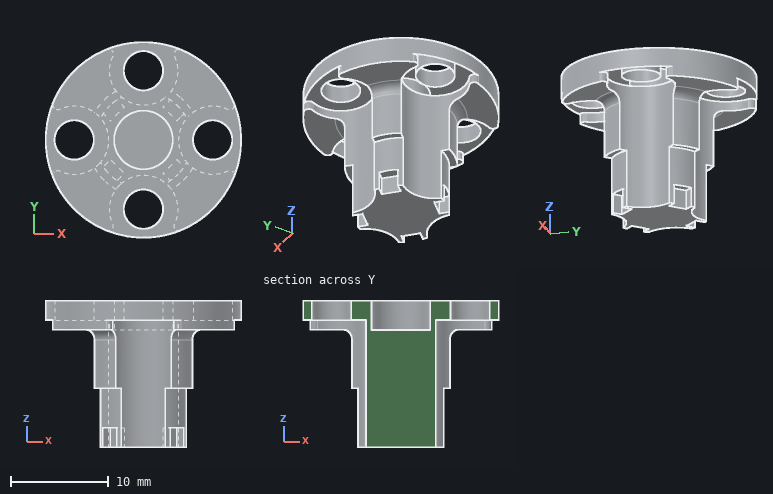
import cadquery as cq
import math

total_height = 15.0
flange_diameter = 20.0
flange_thickness = 3.0
flange_rim_height = 2.0

upper_stem_diameter = 11.53
lower_stem_diameter = 9.9
lower_stem_height = 6.01
stem_fillet_radius = 1.0

quarter_count = 4
scallop_radius = 3.5
scallop_corner_radius = 0.5

bore_diameter = 6.0
bore_depth = flange_thickness
bolt_hole_diameter = 4.0
bolt_circle_radius = 7.07

notch_width = 2.0
notch_height = 2.0
notch_floor_distance = 3.8

flange_underside = total_height - flange_thickness
scallop_top = total_height - flange_rim_height


def cylinder(diameter, bottom, top):
    return cq.Workplane("XY").workplane(offset=bottom).circle(diameter / 2).extrude(top - bottom)


def flanged_stem():
    """Revolved body with a concave fillet where the stem meets the flange."""
    flange_radius = flange_diameter / 2
    upper_radius = upper_stem_diameter / 2
    lower_radius = lower_stem_diameter / 2
    fillet_bottom = flange_underside - stem_fillet_radius
    fillet_outer_radius = upper_radius + stem_fillet_radius
    arc_offset = stem_fillet_radius * (1 - math.sqrt(0.5))
    profile = (
        cq.Workplane("XZ")
        .lineTo(lower_radius, 0)
        .lineTo(lower_radius, lower_stem_height)
        .lineTo(upper_radius, lower_stem_height)
        .lineTo(upper_radius, fillet_bottom)
        .threePointArc(
            (upper_radius + arc_offset, flange_underside - arc_offset),
            (fillet_outer_radius, flange_underside),
        )
        .lineTo(flange_radius, flange_underside)
        .lineTo(flange_radius, total_height)
        .lineTo(0, total_height)
        .close()
    )
    return profile.revolve(360, (0, 0, 0), (0, 1, 0))


def on_bolt_circle(diameter, bottom, top):
    """Four vertical cylinders on the bolt circle, along the X and Y axes."""
    return (
        cq.Workplane("XY")
        .workplane(offset=bottom)
        .polarArray(bolt_circle_radius, 0, 360, quarter_count)
        .circle(diameter / 2)
        .extrude(top - bottom)
    )


def lobe_notches():
    """Four flat-floored notches on the diagonals, open outward and downward."""
    notch_length = lower_stem_diameter / 2 - notch_floor_distance
    notch = cq.Workplane("XY").box(
        notch_length, notch_width, notch_height, centered=(False, True, False)
    ).translate((notch_floor_distance, 0, 0))
    notches = cq.Workplane("XY")
    for quarter in range(quarter_count):
        angle = (quarter + 0.5) * 360 / quarter_count
        notches = notches.add(notch.rotate((0, 0, 0), (0, 0, 1), angle))
    return notches.combine()


def rounded_rim_lobes(body):
    """Round the vertical edges where the scallops break through the flange rim."""
    inner_edge_limit = (bolt_circle_radius + flange_diameter / 2) / 2
    rim_edges = [
        edge
        for edge in body.edges("|Z").vals()
        if flange_underside < edge.Center().z < scallop_top
        and math.hypot(edge.Center().x, edge.Center().y) > inner_edge_limit
    ]
    return body.newObject(rim_edges).fillet(scallop_corner_radius)


scallops = on_bolt_circle(2 * scallop_radius, 0, scallop_top)
bolt_holes = on_bolt_circle(bolt_hole_diameter, flange_underside, total_height)
bore = cylinder(bore_diameter, total_height - bore_depth, total_height)

scalloped_body = rounded_rim_lobes(flanged_stem().cut(scallops))
result = scalloped_body.cut(bolt_holes).cut(bore).cut(lobe_notches())